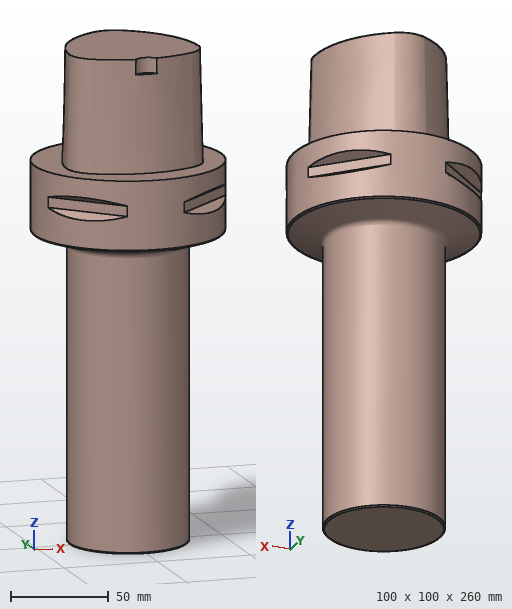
import cadquery as cq
import math

total_height = 260.0
polygon_height = 59.8
flange_radius = 100.0 / 2
flange_top = total_height - polygon_height
flange_rim_height = 36.5
rim_bevel = 0.8

shank_radius = 63.0 / 2
shank_end_chamfer = 0.8
cone_height = 5.5
cone_fillet_radius = 2.5

polygon_width = 72.3
lobe_centre_distance = 21.3
lobe_radius = (polygon_width - math.sqrt(3) * lobe_centre_distance) / 2
flank_radius = polygon_width - lobe_radius
taper_angle = math.degrees(math.atan(1 / 40))
lobe_angles = (90, 210, 330)

notch_radius = 6.8
notch_depth = 8.0
notch_wall_y = -28.5

slot_floor_distance = 44.5
slot_floor_height = 5.5
slot_slope = 30
slot_centre_z = 184.3
slot_angles = (45, 135, 225, 315)


def polar(radius, angle):
    return cq.Vector(radius * math.cos(math.radians(angle)), radius * math.sin(math.radians(angle)))


def xy(vector):
    return (vector.x, vector.y)


def make_body():
    rim_bottom = flange_top - flange_rim_height
    cone_top = rim_bottom - rim_bevel
    cone_bottom = cone_top - cone_height
    profile = [
        (0, 0),
        (shank_radius - shank_end_chamfer, 0),
        (shank_radius, shank_end_chamfer),
        (shank_radius, cone_bottom),
        (flange_radius - rim_bevel, cone_top),
        (flange_radius, rim_bottom),
        (flange_radius, flange_top),
        (0, flange_top),
    ]
    body = cq.Workplane("XZ").polyline(profile).close().revolve(360, (0, 0), (0, 1))
    corner = cq.selectors.NearestToPointSelector((0, 0, cone_bottom))
    return body.edges("%CIRCLE").edges(corner).fillet(cone_fillet_radius)


def make_polygon():
    first_centre = polar(lobe_centre_distance, lobe_angles[0])
    outline = cq.Workplane("XY", origin=(0, 0, flange_top))
    outline = outline.moveTo(*xy(first_centre + polar(lobe_radius, lobe_angles[0] - 30)))
    for angle in lobe_angles:
        lobe_centre = polar(lobe_centre_distance, angle)
        next_centre = polar(lobe_centre_distance, angle + 120)
        opposite_centre = polar(lobe_centre_distance, angle + 240)
        outline = outline.threePointArc(
            xy(lobe_centre + polar(lobe_radius, angle)),
            xy(lobe_centre + polar(lobe_radius, angle + 30)),
        )
        outline = outline.threePointArc(
            xy(opposite_centre + polar(flank_radius, angle + 60)),
            xy(next_centre + polar(lobe_radius, angle + 90)),
        )
    return outline.close().extrude(polygon_height, taper=taper_angle)


def make_notch():
    return (
        cq.Workplane("XY", origin=(0, 0, total_height - notch_depth))
        .center(0, notch_wall_y - notch_radius)
        .circle(notch_radius)
        .extrude(notch_depth)
    )


def make_slot(angle):
    mouth_distance = flange_radius + 2.5
    floor_half = slot_floor_height / 2
    rise = (mouth_distance - slot_floor_distance) * math.tan(math.radians(slot_slope))
    mouth_half = floor_half + rise
    section = [
        (slot_floor_distance, slot_centre_z - floor_half),
        (mouth_distance, slot_centre_z - mouth_half),
        (mouth_distance, slot_centre_z + mouth_half),
        (slot_floor_distance, slot_centre_z + floor_half),
    ]
    slot = cq.Workplane("XZ").polyline(section).close().extrude(flange_radius, both=True)
    return slot.rotate((0, 0, 0), (0, 0, 1), angle)


result = make_body().union(make_polygon()).cut(make_notch())
for slot_angle in slot_angles:
    result = result.cut(make_slot(slot_angle))